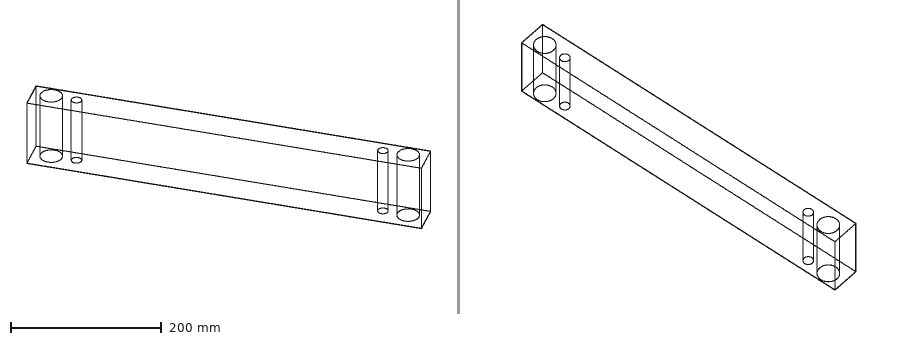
import cadquery as cq

length = 546.0
width = 43.0
height = 96.0

large_hole_diameter = 30.0
large_hole_spacing = 494.0
small_hole_diameter = 14.0
small_hole_spacing = 424.0
hole_line_to_back = 17.0
hole_line_y = width / 2 - hole_line_to_back


def drill_pair(body, diameter, spacing):
    """Cut two vertical through holes placed symmetrically along X."""
    centers = [(-spacing / 2, hole_line_y), (spacing / 2, hole_line_y)]
    return body.faces(">Z").workplane(origin=(0, 0, height)).pushPoints(centers).hole(diameter)


bar = cq.Workplane("XY").box(length, width, height, centered=(True, True, False))
bar = drill_pair(bar, large_hole_diameter, large_hole_spacing)
result = drill_pair(bar, small_hole_diameter, small_hole_spacing)